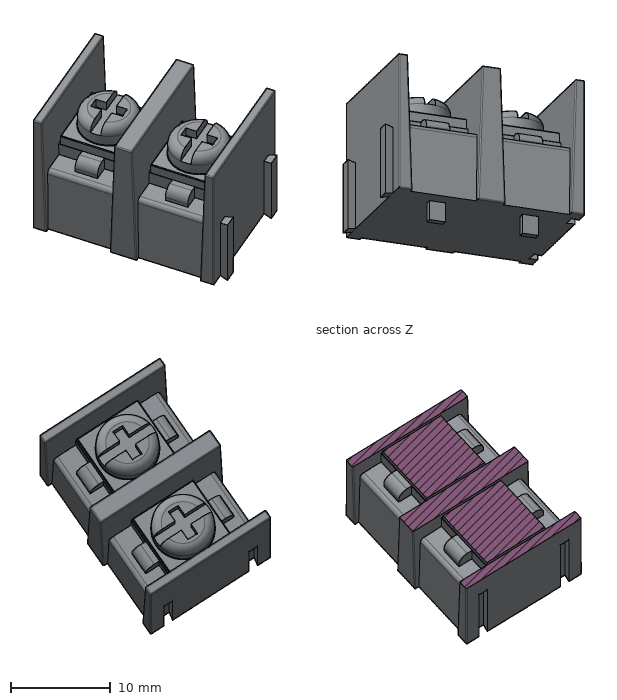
import cadquery as cq

overall_length = 20.9
pitch = 10.01
pole_count = 2
depth = 14.5
height = 14.5
housing_length = pole_count * pitch

wall_half_top = 0.98
wall_flare = 0.48
wall_round = 0.13

body_height = 7.5
body_depth_base = 13.48
body_depth_top = 12.73
body_round = 0.5

terminal_top = 8.92
terminal_depth = 7.42
plate_side = 7.34
plate_top = 10.01
plate_chamfer = 0.08
stop_width = 2.49
stop_reach = 1.6
stop_round = 1.02

collar_diameter = 6.48
collar_height = 0.06
head_diameter = 6.35
head_top = 12.25
head_round = 1.0
recess_width = 1.15
recess_short_length = 3.5

pin_width = 1.7
pin_thickness = 0.71
pin_length = 2.05
pin_y = 4.75

rail_y = 5.12
rail_width = 1.05
rail_height = 7.1
rail_reach = overall_length - housing_length
rail_flare = 0.17


def box(x_size, y_size, z_bottom, z_top, x=0, y=0):
    """Box centred on (x, y), spanning z_bottom to z_top."""
    base = cq.Workplane("XY").box(x_size, y_size, z_top - z_bottom, centered=(True, True, False))
    return base.translate((x, y, z_bottom))


def wall(x, left_side, right_side):
    """Partition at x with its end faces and top rounded; each side present flares towards the base."""
    left_top = -wall_half_top * left_side
    right_top = wall_half_top * right_side
    left_base = left_top - wall_flare * left_side
    right_base = right_top + wall_flare * right_side
    outline = [(left_base, 0), (right_base, 0), (right_top, height), (left_top, height)]
    solid = cq.Workplane("XZ").polyline(outline).close().extrude(depth / 2, both=True)
    return solid.faces("<Y or >Y or >Z").edges().fillet(wall_round).translate((x, 0, 0))


def body():
    """Drafted block running the length of the housing, with rounded top edges."""
    outline = [
        (-body_depth_base / 2, 0),
        (body_depth_base / 2, 0),
        (body_depth_top / 2, body_height),
        (-body_depth_top / 2, body_height),
    ]
    inset = wall_half_top / 2
    block = cq.Workplane("YZ").polyline(outline).close().extrude(housing_length - 2 * inset)
    return block.edges("|X and >Z").fillet(body_round).translate((inset, 0, 0))


def wire_stop():
    """Quarter-round stop standing on the body against the terminal step, on both sides."""
    bar = box(stop_width, terminal_depth + 2 * stop_reach, body_height, terminal_top)
    return bar.edges("|X and >Z").fillet(stop_round)


def screw():
    """Pan-head screw with a low collar and a cross recess."""
    collar = cq.Workplane("XY").circle(collar_diameter / 2).extrude(collar_height)
    head = cq.Workplane("XY").circle(head_diameter / 2).extrude(head_top - plate_top)
    head = head.faces(">Z").edges().fillet(head_round)
    recess_floor = head_top - head_round
    head = head.union(collar).translate((0, 0, plate_top))
    head = head.cut(box(recess_width, head_diameter, recess_floor, head_top))
    return head.cut(box(recess_short_length, recess_width, recess_floor, head_top))


def pole():
    """Terminal, clamp plate, wire stops, screw and solder pin of one pole."""
    terminal = box(pitch - 2 * wall_half_top, terminal_depth, body_height, terminal_top)
    plate = box(plate_side, plate_side, terminal_top, plate_top)
    plate = plate.faces(">Z").edges().chamfer(plate_chamfer)
    pin_root = body_height / 2
    pin = box(pin_width, pin_thickness, -pin_length, pin_root, y=pin_y)
    return terminal.union(plate).union(wire_stop()).union(screw()).union(pin)


def rail(x, y):
    """Dovetail rail rooted on the plane at x, widening towards +X."""
    near = cq.Workplane("YZ").center(y, rail_height / 2).rect(rail_width, rail_height)
    far = near.workplane(offset=rail_reach).rect(rail_width + 2 * rail_flare, rail_height + 2 * rail_flare)
    return far.loft(ruled=True).translate((x, 0, 0))


result = body()
for index in range(pole_count):
    pole_x = (index + 0.5) * pitch
    result = result.union(pole().translate((pole_x, 0, 0)))
for index in range(pole_count + 1):
    result = result.union(wall(index * pitch, index > 0, index < pole_count))
for y in (-rail_y, rail_y):
    result = result.cut(rail(0, y)).union(rail(housing_length, y))